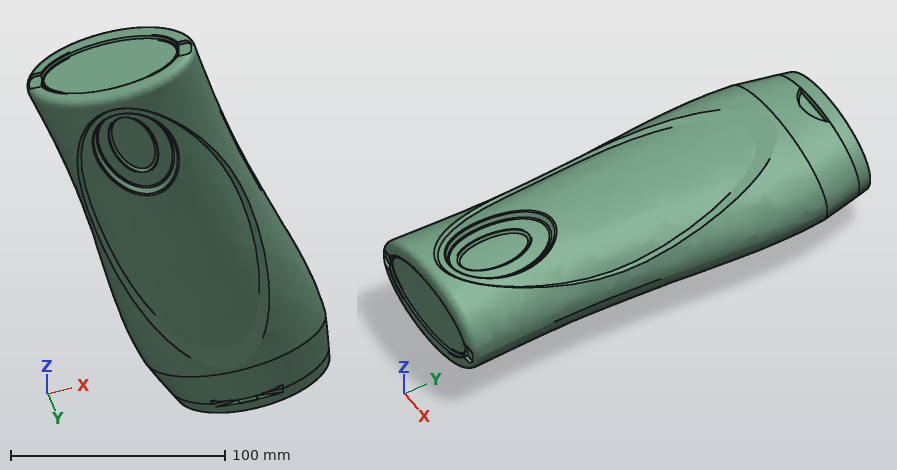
import cadquery as cq
import math

bottle_top = 192.0
cap_top = 212.6
lid_top = 220.0

bottle_depth = 46.5
bottle_half_depth = bottle_depth / 2
shoulder_half_width = 44.7
bottle_stations = [(0, 41.4), (48.5, 39.6), (107.9, 42.0), (162.9, 46.0), (bottle_top, shoulder_half_width)]
bottle_sections = 9

wall_steps = [(0, 0), (0.3, 0.15), (0.7, 0.85), (1, 1)]

foot_radius = 3.5
base_recess_depth = 1.3
base_rim_x, base_rim_z = 34.5, 16.5
base_floor_x, base_floor_z = 32.5, 14.3
notch_inner_x = 33.5
notch_outer_x = 39.8
notch_half_width = 4.6
notch_depth = 2.0
notch_corner_radius = 3.0

panel_rim = (98.2, 37.2, 91.5)
panel_floor = (93.0, 34.1, 84.3)
panel_depth = 1.8
emblem_rim = (40.5, 19.5, 28.6)
emblem_floor = (39.6, 16.0, 25.3)
emblem_depth = panel_depth + 2.9
badge_rim = (36.8, 11.0, 20.0)
badge_floor = (36.8, 8.1, 17.0)
badge_depth = emblem_depth + 1.5
ring_overrun = 0.1
ring_points = 40

cap_lid_joint = (cap_top, 39.6, 22.5)
cap_stations = [(bottle_top, shoulder_half_width, bottle_half_depth), (202.5, 42.3, 23.0), cap_lid_joint]
lid_stations = [cap_lid_joint, (lid_top, 37.6, 22.0)]
lid_edge_radius = 0.9

thumb_low_y = 205.4
thumb_rim_radius = 16.7
thumb_floor_radius = 15.6
thumb_floor_z = 18.7

hinge_half_width = 18.3
hinge_end_half_height = 2.5
hinge_waist_half_height = 0.7
hinge_floor_z = 20.3
hinge_barrel_half_length = 4.5
hinge_barrel_radius = 1.3


def bottle_half_width(y):
    """Polynomial through the bottle stations (Lagrange form)."""
    total = 0
    for y_here, width in bottle_stations:
        for y_other, _ in bottle_stations:
            if y_other != y_here:
                width *= (y - y_other) / (y_here - y_other)
        total += width
    return total


def oval_section(y, half_width, half_depth):
    """Elliptical wire across Y, split into a front and a back half at Z = 0."""
    plane = cq.Plane(origin=(0, y, 0), xDir=(1, 0, 0), normal=(0, -1, 0))
    front = cq.Workplane(plane).ellipseArc(half_width, half_depth, 0, 180, startAtCurrent=False).val()
    back = cq.Workplane(plane).ellipseArc(half_width, half_depth, 180, 360, startAtCurrent=False).val()
    return cq.Wire.assembleEdges([front, back])


def oval_loft(stations, ruled=False):
    return cq.Workplane(cq.Solid.makeLoft([oval_section(*station) for station in stations], ruled))


def bottle_core(inset):
    """The bottle's outer shape, moved inward by the inset."""
    stations = []
    for index in range(bottle_sections):
        y = bottle_top * index / (bottle_sections - 1)
        stations.append((y, bottle_half_width(y) - inset, bottle_half_depth - inset))
    return oval_loft(stations)


def ring_wire(oval, depth, flat_z=None):
    """Closed oval curve on the bottle surface inset by the depth, or flat at the given Z."""
    centre_y, semi_x, semi_y = oval
    points = []
    for index in range(ring_points):
        angle = 2 * math.pi * index / ring_points
        x = semi_x * math.cos(angle)
        y = centre_y + semi_y * math.sin(angle)
        z = flat_z
        if z is None:
            x_share = x / (bottle_half_width(y) - depth)
            z = (bottle_half_depth - depth) * math.sqrt(1 - x_share**2)
        points.append(cq.Vector(x, y, z))
    return cq.Wire.assembleEdges([cq.Edge.makeSpline(points, periodic=True)])


def blend(start, end, share):
    return tuple(a + (b - a) * share for a, b in zip(start, end))


def oval_recess(rim, floor, rim_depth, floor_depth, steps):
    """Cutter on the +Z side: a wall stepping from the rim oval in to the floor oval, with an inset floor.

    The wall starts just above the rim and ends just below the floor, so it crosses both surfaces.
    """
    depths = (rim_depth - ring_overrun, floor_depth + ring_overrun)
    wires = [ring_wire(rim, depths[0], bottle_depth)]
    for run, drop in steps:
        wires.append(ring_wire(blend(rim, floor, run), depths[0] + (depths[1] - depths[0]) * drop))
    wires.append(ring_wire(floor, depths[1], 0))
    funnel = cq.Workplane(cq.Solid.makeLoft(wires, True))
    return funnel.cut(bottle_core(floor_depth))


def oval_recesses():
    """The panel, the emblem sunk in it and the badge sunk in the emblem, outermost first."""
    straight_wall = [wall_steps[0], wall_steps[-1]]
    return [
        oval_recess(panel_rim, panel_floor, 0, panel_depth, straight_wall),
        oval_recess(emblem_rim, emblem_floor, panel_depth, emblem_depth, wall_steps),
        oval_recess(badge_rim, badge_floor, emblem_depth, badge_depth, wall_steps),
    ]


def base_recess():
    rim = (0, base_rim_x, base_rim_z)
    floor = (0, base_floor_x, base_floor_z)
    stations = []
    for run, drop in wall_steps:
        _, half_width, half_depth = blend(rim, floor, run)
        stations.append((base_recess_depth * drop, half_width, half_depth))
    return oval_loft(stations, ruled=True)


def foot_notches():
    """Round-ended notches from the base recess out to the rounded edge at both ends of the foot."""
    length = notch_outer_x - notch_inner_x
    notch = (
        cq.Workplane("XY")
        .box(length, notch_depth, 2 * notch_half_width, centered=(False, False, True))
        .edges("|Y and >X")
        .fillet(notch_corner_radius)
        .translate((notch_inner_x, 0, 0))
    )
    return notch.union(notch.mirror("YZ"))


def make_bottle():
    bottle = bottle_core(0).faces("<Y").edges().fillet(foot_radius)
    bottle = bottle.cut(base_recess()).cut(foot_notches())
    for recess in oval_recesses():
        bottle = bottle.cut(recess).cut(recess.mirror("XY"))
    return bottle


def thumb_recess():
    height = bottle_half_depth - thumb_floor_z
    taper = math.degrees(math.atan2(thumb_floor_radius - thumb_rim_radius, height))
    return (
        cq.Workplane("XY", origin=(0, thumb_low_y + thumb_rim_radius, thumb_floor_z))
        .circle(thumb_floor_radius)
        .extrude(height, taper=taper)
    )


def hinge_slot():
    """Bow tie across the joint of cap and lid: tall at both ends, narrow in the middle."""
    return (
        cq.Workplane("XY", origin=(0, cap_top, -hinge_floor_z))
        .polyline(
            [
                (-hinge_half_width, hinge_end_half_height),
                (0, hinge_waist_half_height),
                (hinge_half_width, hinge_end_half_height),
                (hinge_half_width, -hinge_end_half_height),
                (0, -hinge_waist_half_height),
                (-hinge_half_width, -hinge_end_half_height),
            ]
        )
        .close()
        .extrude(hinge_floor_z - bottle_half_depth)
    )


def hinge_barrel():
    return (
        cq.Workplane("YZ")
        .center(cap_top, hinge_barrel_radius - bottle_half_depth)
        .circle(hinge_barrel_radius)
        .extrude(hinge_barrel_half_length, both=True)
    )


def make_cap():
    cap = oval_loft(cap_stations).cut(thumb_recess()).cut(hinge_slot())
    return cap.union(hinge_barrel())


def make_lid():
    lid = oval_loft(lid_stations, ruled=True).faces(">Y").edges().fillet(lid_edge_radius)
    return lid.cut(hinge_slot()).cut(hinge_barrel())


bottle = make_bottle()
cap = make_cap()
lid = make_lid()

result = cq.Compound.makeCompound([bottle.val(), cap.val(), lid.val()])